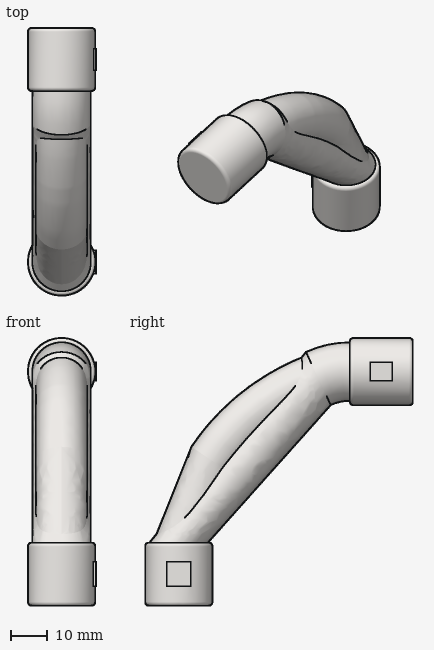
import cadquery as cq
import math

overall_size = 73.05

socket_diameter = 18.4
socket_length = 17.25
socket_rim_radius = 1.0
socket_axis_offset = socket_diameter / 2
socket_inner_face = overall_size - socket_length
upper_axis_height = overall_size - socket_axis_offset

pad_proud_height = 0.2
pad_root_depth = 1.9
lower_pad_width = 6.4
lower_pad_height = 6.65
upper_pad_length = 5.9
upper_pad_height = 5.1

brace_diameter = 16.0
neck_bend_radius = 20.2
neck_bend_angle = 25.0

bow_diameter = 14.0
bow_bend_radius = 59.2
bow_start_angle = 20.0
bow_end_angle = 56.0


def section_plane(y, z, turn):
    """Plane across a tube heading toward -Y at 0 degrees and toward -Z at 90 degrees."""
    angle = math.radians(turn)
    return cq.Plane(origin=(0, y, z), xDir=(1, 0, 0), normal=(0, -math.cos(angle), -math.sin(angle)))


def bend_end(y, z, radius, start_turn, end_turn):
    """Centre point of a tube after bending downward from start_turn to end_turn."""
    start = math.radians(start_turn)
    end = math.radians(end_turn)
    end_y = y - radius * (math.sin(end) - math.sin(start))
    end_z = z - radius * (math.cos(start) - math.cos(end))
    return end_y, end_z


def bent_tube(y, z, diameter, radius, start_turn, end_turn):
    """Round tube starting at the given centre point and bending downward."""
    section = cq.Workplane(section_plane(y, z, start_turn)).circle(diameter / 2)
    return section.revolve(end_turn - start_turn, (0, -radius, 0), (1, -radius, 0))


def tube_to_lower_socket(y, z, turn, diameter):
    """Straight-sided blend from a tilted round section to a level one on the lower socket."""
    upper_plane = section_plane(y, z, turn)
    lower_plane = section_plane(socket_axis_offset, socket_length, 90)
    sections = []
    for plane in (upper_plane, lower_plane):
        rim = cq.Edge.makeCircle(diameter / 2, plane.origin, plane.zDir)
        sections.append(cq.Wire.assembleEdges([rim]))
    return cq.Workplane(cq.Solid.makeLoft(sections, ruled=True))


def socket(y, z, turn):
    """Socket with rounded rims, built from one end face along the heading."""
    body = cq.Workplane(section_plane(y, z, turn)).circle(socket_diameter / 2).extrude(socket_length)
    return body.edges("%CIRCLE").fillet(socket_rim_radius)


def socket_pad(y, z, size_y, size_z):
    """Flat pad rooted in the +X side of a socket."""
    outer_x = socket_diameter / 2 + pad_proud_height
    thickness = pad_proud_height + pad_root_depth
    return cq.Workplane("XY").box(thickness, size_y, size_z).translate((outer_x - thickness / 2, y, z))


upper_socket = socket(overall_size, upper_axis_height, 0)
lower_socket = socket(socket_axis_offset, socket_length, 90)

upper_pad = socket_pad(
    overall_size - socket_length / 2, upper_axis_height, upper_pad_length, upper_pad_height)
lower_pad = socket_pad(
    socket_axis_offset, socket_length / 2, lower_pad_width, lower_pad_height)

neck = bent_tube(
    socket_inner_face, upper_axis_height, brace_diameter, neck_bend_radius, 0, neck_bend_angle)
neck_end = bend_end(socket_inner_face, upper_axis_height, neck_bend_radius, 0, neck_bend_angle)
brace = tube_to_lower_socket(*neck_end, neck_bend_angle, brace_diameter)

bow = bent_tube(*neck_end, bow_diameter, bow_bend_radius, bow_start_angle, bow_end_angle)
bow_end = bend_end(*neck_end, bow_bend_radius, bow_start_angle, bow_end_angle)
bow_leg = tube_to_lower_socket(*bow_end, bow_end_angle, bow_diameter)

result = upper_socket
for piece in (neck, brace, bow, bow_leg, lower_socket, upper_pad, lower_pad):
    result = result.union(piece)